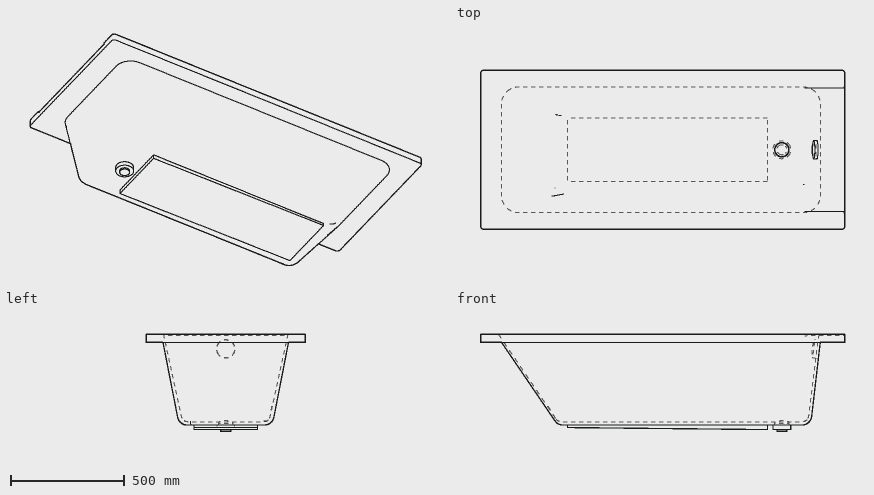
import cadquery as cq
import math

LENGTH, WIDTH, TOTAL_HEIGHT = 1600.0, 700.0, 427.7
HALF_LENGTH = LENGTH / 2
RIM_HEIGHT = 37.0
RIM_CORNER_RADIUS = 15.0
RIM_EDGE_RADIUS = 5.0

UNDERSIDE_Z = -400.0
OUTER_TOP = dict(left=-708.0, right=692.0, half_width=276.0, left_radius=75.0, right_radius=75.0)
OUTER_BOTTOM = dict(left=-461.0, right=650.0, half_width=205.0, left_radius=52.0, right_radius=52.0)
OUTER_FLOOR_RADIUS = 44.0

FLOOR_Z = -385.0
BASIN_TOP = dict(left=-722.0, right=685.0, half_width=273.5, left_radius=72.0, right_radius=68.0)
BASIN_BOTTOM = dict(left=-460.5, right=637.6, half_width=189.7, left_radius=38.0, right_radius=38.0)
BASIN_FLOOR_RADIUS = 28.0

SHELF_DEPTH = 7.0
SHELF_START_X = 580.0
SHELF_LIP_RADIUS = 4.0
SELECTION_MARGIN = 1.0

BOARD_START_X, BOARD_END_X = -419.0, 460.0
BOARD_WIDTH = 280.0
BOARD_START_THICKNESS, BOARD_END_THICKNESS = 11.0, 20.0

DRAIN_X = 523.0
DRAIN_BODY_DIAMETER = 79.0
DRAIN_BODY_BOTTOM_Z = -420.0
DRAIN_PIPE_DIAMETER = 44.0
DRAIN_NECK_DIAMETER = 64.0
PLUG_DIAMETER = 60.0
PLUG_RECESS_DEPTH = 8.0
PLUG_DOME_HEIGHT = 5.0

OVERFLOW_Z = -66.0
OVERFLOW_DIAMETER = 80.0
OVERFLOW_RIM_THICKNESS = 14.0
OVERFLOW_DOME_HEIGHT = 7.0


def rounded_outline(left, right, half_width, left_radius, right_radius):
    """Closed rectangle outline with one corner radius at each end, as lines and quarter arcs."""
    sketch = cq.Sketch().push([((left + right) / 2, 0)]).rect(right - left, 2 * half_width).reset()
    sketch = sketch.vertices("<X").fillet(left_radius).reset()
    return sketch.vertices(">X").fillet(right_radius).reset()


def tapered_block(top_z, top, bottom_z, bottom, floor_radius):
    """Straight-sided loft between two rounded outlines, rounded along its bottom edge."""
    block = (
        cq.Workplane("XY", origin=(0, 0, bottom_z))
        .placeSketch(
            rounded_outline(**bottom),
            rounded_outline(**top).moved(cq.Location(cq.Vector(0, 0, top_z - bottom_z))),
        )
        .loft(ruled=True)
    )
    return block.faces("<Z").edges().fillet(floor_radius)


def make_rim():
    rim = cq.Workplane("XY").box(LENGTH, WIDTH, RIM_HEIGHT, centered=(True, True, False))
    return rim.translate((0, 0, -RIM_HEIGHT)).edges("|Z").fillet(RIM_CORNER_RADIUS)


def make_shelf_cutter():
    top_half_width = BASIN_TOP["half_width"]
    side_slope = (top_half_width - BASIN_BOTTOM["half_width"]) / -FLOOR_Z
    floor_half_width = top_half_width - side_slope * SHELF_DEPTH
    return (
        cq.Workplane("YZ", origin=(SHELF_START_X, 0, 0))
        .polyline([
            (-top_half_width, 0),
            (-floor_half_width, -SHELF_DEPTH),
            (floor_half_width, -SHELF_DEPTH),
            (top_half_width, 0),
        ])
        .close()
        .extrude(HALF_LENGTH - SHELF_START_X)
    )


def shelf_edges_between(tub, start_x, end_x):
    """Edges of the shelf floor, other than its two sides, whose middles lie between two X places."""
    zone_half_width = BASIN_TOP["half_width"] - RIM_CORNER_RADIUS
    low_corner = (start_x, -zone_half_width, -SHELF_DEPTH - SELECTION_MARGIN)
    high_corner = (end_x, zone_half_width, -SHELF_DEPTH + SELECTION_MARGIN)
    return tub.edges(cq.selectors.BoxSelector(low_corner, high_corner))


def round_top_edges(tub):
    """Round both edges of the rim's top face, and the shelf's edge at the +X end."""
    rim_edges = tub.faces(">Z").edges()
    shelf_end = shelf_edges_between(tub, HALF_LENGTH - SELECTION_MARGIN, HALF_LENGTH + SELECTION_MARGIN)
    return rim_edges.add(shelf_end).fillet(RIM_EDGE_RADIUS)


def round_shelf_lip(tub):
    """Round the edge where the shelf drops into the basin."""
    return shelf_edges_between(tub, SHELF_START_X, BASIN_TOP["right"]).fillet(SHELF_LIP_RADIUS)


def make_tub():
    shell = tapered_block(-RIM_HEIGHT, OUTER_TOP, UNDERSIDE_Z, OUTER_BOTTOM, OUTER_FLOOR_RADIUS)
    basin = tapered_block(0, BASIN_TOP, FLOOR_Z, BASIN_BOTTOM, BASIN_FLOOR_RADIUS)
    drain_hole = (
        cq.Workplane("XY", origin=(DRAIN_X, 0, UNDERSIDE_Z))
        .circle(DRAIN_NECK_DIAMETER / 2)
        .extrude(FLOOR_Z - UNDERSIDE_Z)
    )
    tub = make_rim().union(shell).cut(basin).cut(make_shelf_cutter()).cut(drain_hole)
    tub = round_top_edges(tub)
    return round_shelf_lip(tub)


def make_base_board():
    return (
        cq.Workplane("XZ")
        .polyline([
            (BOARD_START_X, UNDERSIDE_Z),
            (BOARD_END_X, UNDERSIDE_Z),
            (BOARD_END_X, UNDERSIDE_Z - BOARD_END_THICKNESS),
            (BOARD_START_X, UNDERSIDE_Z - BOARD_START_THICKNESS),
        ])
        .close()
        .extrude(BOARD_WIDTH / 2, both=True)
    )


def domed_disc(diameter, rim_thickness, dome_height):
    """Disc standing on Z = 0 with a shallow spherical top."""
    radius = diameter / 2
    sphere_radius = (radius**2 + dome_height**2) / (2 * dome_height)
    apex_z = rim_thickness + dome_height
    mid_x = radius / 2
    mid_z = apex_z - sphere_radius + math.sqrt(sphere_radius**2 - mid_x**2)
    return (
        cq.Workplane("XZ")
        .lineTo(radius, 0)
        .lineTo(radius, rim_thickness)
        .threePointArc((mid_x, mid_z), (0, apex_z))
        .close()
        .revolve(360, (0, 0), (0, 1))
    )


def make_drain():
    def cylinder(diameter, bottom_z, top_z):
        plane = cq.Workplane("XY", origin=(DRAIN_X, 0, bottom_z))
        return plane.circle(diameter / 2).extrude(top_z - bottom_z)

    drain = cylinder(DRAIN_BODY_DIAMETER, DRAIN_BODY_BOTTOM_Z, UNDERSIDE_Z)
    drain = drain.union(cylinder(DRAIN_PIPE_DIAMETER, -TOTAL_HEIGHT, DRAIN_BODY_BOTTOM_Z))
    drain = drain.union(cylinder(DRAIN_NECK_DIAMETER, UNDERSIDE_Z, FLOOR_Z))
    return drain.cut(cylinder(PLUG_DIAMETER, FLOOR_Z - PLUG_RECESS_DEPTH, FLOOR_Z))


def make_plug():
    plug = domed_disc(PLUG_DIAMETER, PLUG_RECESS_DEPTH, PLUG_DOME_HEIGHT)
    return plug.translate((DRAIN_X, 0, FLOOR_Z - PLUG_RECESS_DEPTH))


def make_overflow_cap():
    """Domed cap standing square on the sloping +X wall of the basin."""
    wall_run = BASIN_TOP["right"] - BASIN_BOTTOM["right"]
    wall_x = BASIN_TOP["right"] + wall_run * OVERFLOW_Z / -FLOOR_Z
    wall_slope = math.degrees(math.atan2(wall_run, -FLOOR_Z))
    cap = domed_disc(OVERFLOW_DIAMETER, OVERFLOW_RIM_THICKNESS, OVERFLOW_DOME_HEIGHT)
    cap = cap.rotate((0, 0, 0), (0, 1, 0), wall_slope - 90)
    return cap.translate((wall_x, 0, OVERFLOW_Z))


tub = make_tub()
base_board = make_base_board()
drain = make_drain()
plug = make_plug()
overflow_cap = make_overflow_cap()

result = cq.Compound.makeCompound([
    tub.val(),
    base_board.val(),
    drain.val(),
    plug.val(),
    overflow_cap.val(),
])